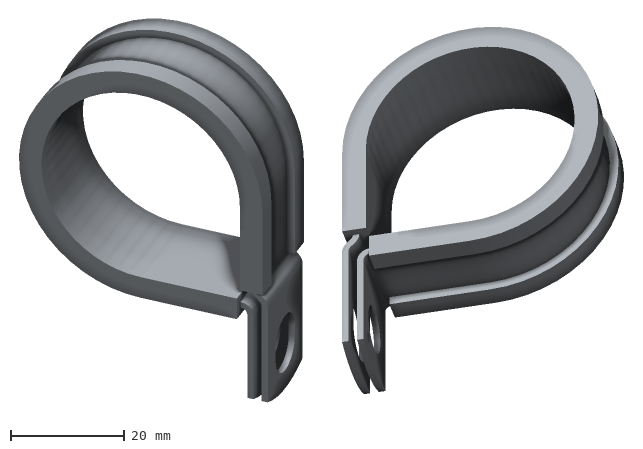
import cadquery as cq
import math

cushion_outer_radius = 23.3
cushion_inner_radius = 19.0
cushion_width = 19.0
down_leg_length = 17.1
side_leg_length = 18.4

strip_thickness = 1.2
strip_width = 16.0
strip_radius = (cushion_outer_radius + cushion_inner_radius) / 2
bend_radius = 1.75
groove_width = 10.85
groove_floor_radius = strip_radius + strip_thickness / 2

tab_bottom = cushion_outer_radius - 65.3
inner_tab_x = 20.4
outer_tab_x = 23.1
jog_angle = math.radians(45)
tab_end_radius = 19.6
hole_diameter = 8.75
hole_height = 9.55
slot_length = 11.35
block_length = outer_tab_x + strip_thickness


def loop(inner_radius, outer_radius, width):
    """Three-quarter ring with a leg going down and a leg going sideways."""
    half_arc = math.sqrt(0.5)
    return (
        cq.Workplane("XZ")
        .moveTo(outer_radius, -down_leg_length)
        .lineTo(outer_radius, 0)
        .threePointArc((-outer_radius * half_arc, outer_radius * half_arc), (0, -outer_radius))
        .lineTo(side_leg_length, -outer_radius)
        .lineTo(side_leg_length, -inner_radius)
        .lineTo(0, -inner_radius)
        .threePointArc((-inner_radius * half_arc, inner_radius * half_arc), (inner_radius, 0))
        .lineTo(inner_radius, -down_leg_length)
        .close()
        .extrude(width / 2, both=True)
    )


def inner_tab():
    """Tab leaving the sideways leg and bending straight down."""
    bend_start_x = inner_tab_x - bend_radius
    path = (
        cq.Workplane("XZ")
        .moveTo(side_leg_length, -strip_radius)
        .lineTo(bend_start_x, -strip_radius)
        .tangentArcPoint((inner_tab_x, -strip_radius - bend_radius), relative=False)
        .lineTo(inner_tab_x, tab_bottom)
    )
    section = cq.Workplane("YZ", origin=(side_leg_length, 0, -strip_radius))
    return section.rect(strip_width, strip_thickness).sweep(path)


def outer_tab():
    """Tab leaving the downward leg and jogging outward through an S-bend."""
    arc_run = bend_radius * (1 - math.cos(jog_angle))
    arc_drop = bend_radius * math.sin(jog_angle)
    slope_run = outer_tab_x - strip_radius - 2 * arc_run
    slope_drop = slope_run / math.tan(jog_angle)
    half_run = bend_radius * (1 - math.cos(jog_angle / 2))
    half_drop = bend_radius * math.sin(jog_angle / 2)
    slope_start = (strip_radius + arc_run, -down_leg_length - arc_drop)
    slope_end = (outer_tab_x - arc_run, slope_start[1] - slope_drop)
    jog_bottom = slope_end[1] - arc_drop
    path = (
        cq.Workplane("XZ")
        .moveTo(strip_radius, -down_leg_length)
        .threePointArc((strip_radius + half_run, -down_leg_length - half_drop), slope_start)
        .lineTo(*slope_end)
        .threePointArc((outer_tab_x - half_run, jog_bottom + half_drop), (outer_tab_x, jog_bottom))
        .lineTo(outer_tab_x, tab_bottom)
    )
    section = cq.Workplane("XY", origin=(strip_radius, 0, -down_leg_length))
    return section.rect(strip_thickness, strip_width).sweep(path)


def hole_workplane():
    """Workplane facing along X, centred on the bolt hole."""
    return cq.Workplane("YZ", origin=(0, 0, tab_bottom + hole_height))


def tab_outline(opening):
    """Block along X that trims a tab to a rounded end and leaves its bolt opening."""
    half_width = strip_width / 2
    end_rise = tab_end_radius - math.sqrt(tab_end_radius**2 - half_width**2)
    corner_z = tab_bottom + end_rise
    outline = (
        cq.Workplane("YZ")
        .moveTo(-half_width, 0)
        .lineTo(-half_width, corner_z)
        .threePointArc((0, tab_bottom), (half_width, corner_z))
        .lineTo(half_width, 0)
        .close()
        .extrude(block_length)
    )
    return outline.cut(opening.extrude(block_length))


cushion = loop(cushion_inner_radius, cushion_outer_radius, cushion_width)
groove = loop(groove_floor_radius, cushion_outer_radius, groove_width)
round_hole = hole_workplane().circle(hole_diameter / 2)
upright_slot = hole_workplane().slot2D(slot_length, hole_diameter, 90)
trimmed_inner_tab = inner_tab().intersect(tab_outline(round_hole))
trimmed_outer_tab = outer_tab().intersect(tab_outline(upright_slot))

result = cushion.cut(groove).union(trimmed_inner_tab).union(trimmed_outer_tab)